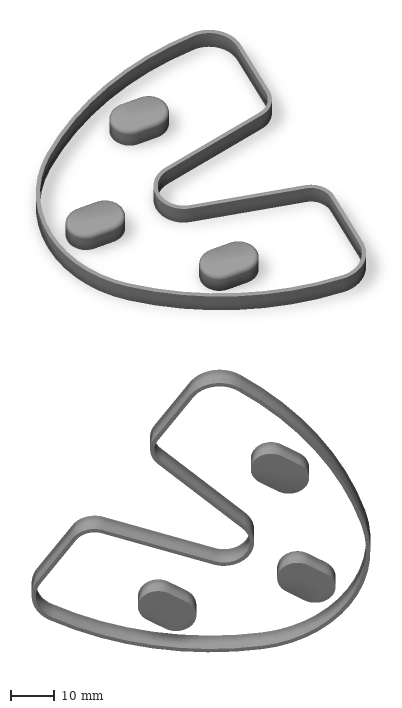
import cadquery as cq
import math

length = 81.9
depth = 64.5
height = 4.8
wall = 1.0

nose_radius = 29.5
nose_half_width = 22.1
corner_radius = 8.2
slot_radius = 6.0
slot_floor_y = 28.5
slot_flank_angle = 12.4

pad_width = 9.3
pad_length = 14.2
pad_fillet = 1.0
side_pad_x = 24.2
side_pad_y = 34.55
front_pad_y = 12.0
pad_centers = [(-side_pad_x, side_pad_y), (side_pad_x, side_pad_y), (0, front_pad_y)]


def polar(center, radius, degrees):
    """Point at an angle on a circle, measured counterclockwise from +X."""
    angle = math.radians(degrees)
    return (center[0] + radius * math.cos(angle), center[1] + radius * math.sin(angle))


def mirrored(point):
    return (-point[0], point[1])


def outline():
    """Closed outer profile of the ring, traced clockwise from the left end of the nose arc."""
    nose_center = (0, nose_radius)
    nose_half_angle = math.degrees(math.asin(nose_half_width / nose_radius))
    join_angle = 270 - nose_half_angle
    side_join = polar(nose_center, nose_radius, join_angle)
    nose_tip = (0, 0)

    corner_center = (corner_radius - length / 2, depth - corner_radius)
    normal = polar((0, 0), 1, join_angle - 180)
    gap = (nose_center[0] - corner_center[0], nose_center[1] - corner_center[1])
    gap_along_normal = gap[0] * normal[0] + gap[1] * normal[1]
    radius_step = nose_radius - corner_radius
    reach = (gap[0]**2 + gap[1]**2 - radius_step**2) / (2 * (radius_step - gap_along_normal))
    side_radius = nose_radius + reach
    side_center = polar(nose_center, reach, join_angle - 180)
    side_end_angle = 180 + math.degrees(
        math.atan2(side_center[1] - corner_center[1], side_center[0] - corner_center[0])
    )
    side_middle = polar(side_center, side_radius, (side_end_angle + join_angle) / 2)
    side_top = polar(side_center, side_radius, side_end_angle)

    corner_middle = polar(corner_center, corner_radius, (90 + side_end_angle) / 2)
    corner_end = (corner_center[0], depth)

    floor_center = (0, slot_floor_y + slot_radius)
    flank_bottom = polar(floor_center, slot_radius, 180 + slot_flank_angle)
    flank = math.radians(slot_flank_angle)
    mouth_y = depth - slot_radius
    mouth_x = -2 * slot_radius / math.cos(flank) - (mouth_y - floor_center[1]) * math.tan(flank)
    mouth_center = (mouth_x, mouth_y)
    mouth_start = (mouth_x, depth)
    mouth_middle = polar(mouth_center, slot_radius, (90 + slot_flank_angle) / 2)
    flank_top = polar(mouth_center, slot_radius, slot_flank_angle)

    return (
        cq.Workplane("XY")
        .moveTo(*side_join)
        .threePointArc(side_middle, side_top)
        .threePointArc(corner_middle, corner_end)
        .lineTo(*mouth_start)
        .threePointArc(mouth_middle, flank_top)
        .lineTo(*flank_bottom)
        .threePointArc((0, slot_floor_y), mirrored(flank_bottom))
        .lineTo(*mirrored(flank_top))
        .threePointArc(mirrored(mouth_middle), mirrored(mouth_start))
        .lineTo(*mirrored(corner_end))
        .threePointArc(mirrored(corner_middle), mirrored(side_top))
        .threePointArc(mirrored(side_middle), mirrored(side_join))
        .threePointArc(nose_tip, side_join)
        .close()
    )


def make_ring():
    """Thin upright wall that follows the outline."""
    opening = outline().offset2D(-wall).extrude(height)
    return outline().extrude(height).cut(opening)


def make_pad(center):
    """Upright oblong pad with a rounded top edge."""
    return (
        cq.Workplane("XY")
        .center(*center)
        .slot2D(pad_length, pad_width, 90)
        .extrude(height)
        .faces(">Z")
        .edges()
        .fillet(pad_fillet)
    )


ring = make_ring()
pads = [make_pad(center) for center in pad_centers]

result = cq.Compound.makeCompound([ring.val(), *[pad.val() for pad in pads]])